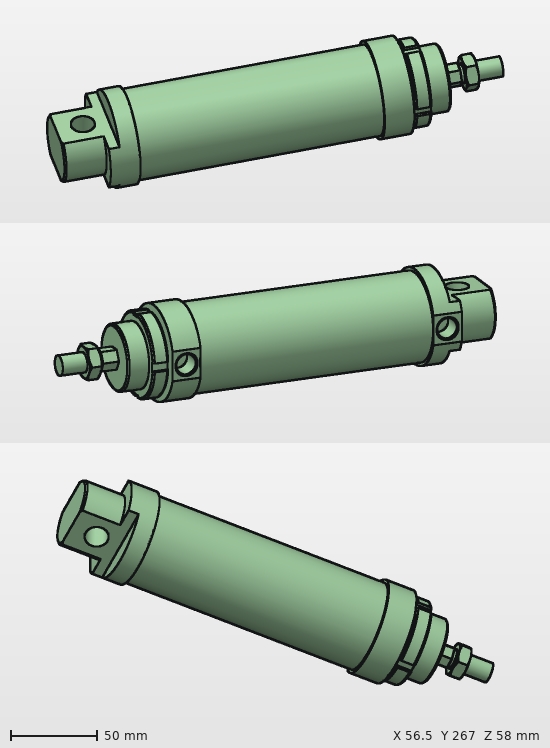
import cadquery as cq
import math


rod_tip_y = 267.0
neck_front_y = 232.0
front_cap_front_y = 207.2
front_cap_rear_y = 189.5
rear_cap_front_y = 43.0
tail_root_y = 25.0
tail_flat_root_y = 31.5

cap_diameter = 58.0
barrel_diameter = 54.0
neck_diameter = 40.0
neck_chamfer = 1.0
tail_diameter = neck_diameter
tail_thickness = 30.0
tail_chamfer = neck_chamfer
pin_hole_diameter = 14.0
pin_hole_y = 16.3

port_flat_width = 18.2
port_diameter = 12.3
port_chamfer = 0.8
port_depth = 13.4

thread_diameter = 12.0
relief_diameter = 10.7
wrench_hex_across_flats = 12.0
wrench_hex_front_y = 242.0
rod_nut_rear_y = 244.0

rod_nut_across_flats = 19.0
rod_nut_thickness = 7.5
nut_chamfer_angle = 30.0

mounting_nut_diameter = 52.0
mounting_nut_rear_y = 208.8
mounting_nut_thickness = 10.0
mounting_nut_chamfer = 1.0
slot_count = 4
slot_width = 5.3
slot_depth = 2.1


def plane_at(y):
    """Plane across the axis at station y, facing +Y."""
    return cq.Workplane(cq.Plane(origin=(0, y, 0), xDir=(1, 0, 0), normal=(0, 1, 0)))


def round_bar(diameter, rear_y, front_y):
    return plane_at(rear_y).circle(diameter / 2).extrude(front_y - rear_y)


def across_corners(across_flats):
    """Corner-to-corner size of a regular hexagon."""
    return across_flats / math.cos(math.pi / 6)


def hex_bar(across_flats, rear_y, front_y):
    """Hexagonal bar with corners on +X and -X and flats facing +Z and -Z."""
    return plane_at(rear_y).polygon(6, across_corners(across_flats)).extrude(front_y - rear_y)


def port_cut(cap_rear_y, cap_front_y):
    """Flat, port bore and its countersink for one cap."""
    cap_radius = cap_diameter / 2
    flat_x = -math.sqrt(cap_radius**2 - (port_flat_width / 2) ** 2)
    middle_y = (cap_rear_y + cap_front_y) / 2
    flat = cq.Workplane("XY").box(
        cap_radius, cap_front_y - cap_rear_y, cap_diameter
    ).translate((flat_x - cap_radius / 2, middle_y, 0))
    face = cq.Workplane(cq.Plane(origin=(flat_x, middle_y, 0), xDir=(0, 1, 0), normal=(1, 0, 0)))
    bore = face.circle(port_diameter / 2).extrude(port_depth)
    countersink = (
        face.circle(port_diameter / 2 + port_chamfer)
        .workplane(offset=port_chamfer)
        .circle(port_diameter / 2)
        .loft()
    )
    return flat.union(bore).union(countersink)


def tail_flat_cut(side):
    """Block removed above (side = 1) or below (side = -1) the clevis tail."""
    height = cap_diameter
    middle_z = side * (tail_thickness + height) / 2
    return cq.Workplane("XY").box(
        2 * cap_diameter, tail_flat_root_y, height
    ).translate((0, tail_flat_root_y / 2, middle_z))


def make_housing():
    tail = round_bar(tail_diameter, 0, tail_root_y).faces("<Y").chamfer(tail_chamfer)
    rear_cap = round_bar(cap_diameter, tail_root_y, rear_cap_front_y)
    barrel = round_bar(barrel_diameter, rear_cap_front_y, front_cap_rear_y)
    front_cap = round_bar(cap_diameter, front_cap_rear_y, front_cap_front_y)
    neck = round_bar(neck_diameter, front_cap_front_y, neck_front_y).faces(">Y").chamfer(neck_chamfer)
    housing = tail.union(rear_cap).union(barrel).union(front_cap).union(neck)

    for side in (1, -1):
        housing = housing.cut(tail_flat_cut(side))
    pin_hole = (
        cq.Workplane("XY")
        .center(0, pin_hole_y)
        .circle(pin_hole_diameter / 2)
        .extrude(tail_thickness, both=True)
    )
    housing = housing.cut(pin_hole)

    for rear_y, front_y in (
        (tail_root_y, rear_cap_front_y),
        (front_cap_rear_y, front_cap_front_y),
    ):
        housing = housing.cut(port_cut(rear_y, front_y))
    return housing


def make_rod():
    """Rod end: wrench hexagon, relief groove and thread simplified to a plain cylinder."""
    wrench_hex = hex_bar(wrench_hex_across_flats, neck_front_y, wrench_hex_front_y)
    relief = round_bar(relief_diameter, wrench_hex_front_y, rod_nut_rear_y)
    thread = round_bar(thread_diameter, rod_nut_rear_y, rod_tip_y)
    return wrench_hex.union(relief).union(thread)


def make_rod_nut():
    """Hexagon nut whose corners are turned off by a cone on both faces."""
    front_y = rod_nut_rear_y + rod_nut_thickness
    corner_diameter = across_corners(rod_nut_across_flats)
    corner_width = (corner_diameter - rod_nut_across_flats) / 2
    corner_height = corner_width * math.tan(math.radians(nut_chamfer_angle))
    turned_blank = (
        round_bar(corner_diameter, rod_nut_rear_y, front_y)
        .faces("<Y or >Y")
        .chamfer(corner_height, corner_width)
    )
    nut = hex_bar(rod_nut_across_flats, rod_nut_rear_y, front_y).intersect(turned_blank)
    return nut.cut(round_bar(thread_diameter, rod_nut_rear_y, front_y))


def make_mounting_nut():
    front_y = mounting_nut_rear_y + mounting_nut_thickness
    middle_y = (mounting_nut_rear_y + front_y) / 2
    nut = (
        round_bar(mounting_nut_diameter, mounting_nut_rear_y, front_y)
        .faces("<Y or >Y")
        .chamfer(mounting_nut_chamfer)
    )
    nut = nut.cut(round_bar(neck_diameter, mounting_nut_rear_y, front_y))
    slot = cq.Workplane("XY").box(
        slot_width, mounting_nut_thickness, 2 * slot_depth
    ).translate((0, middle_y, mounting_nut_diameter / 2))
    for index in range(slot_count):
        nut = nut.cut(slot.rotate((0, 0, 0), (0, 1, 0), index * 360 / slot_count))
    return nut


housing = make_housing()
rod = make_rod()
rod_nut = make_rod_nut()
mounting_nut = make_mounting_nut()

result = cq.Compound.makeCompound([housing.val(), rod.val(), rod_nut.val(), mounting_nut.val()])